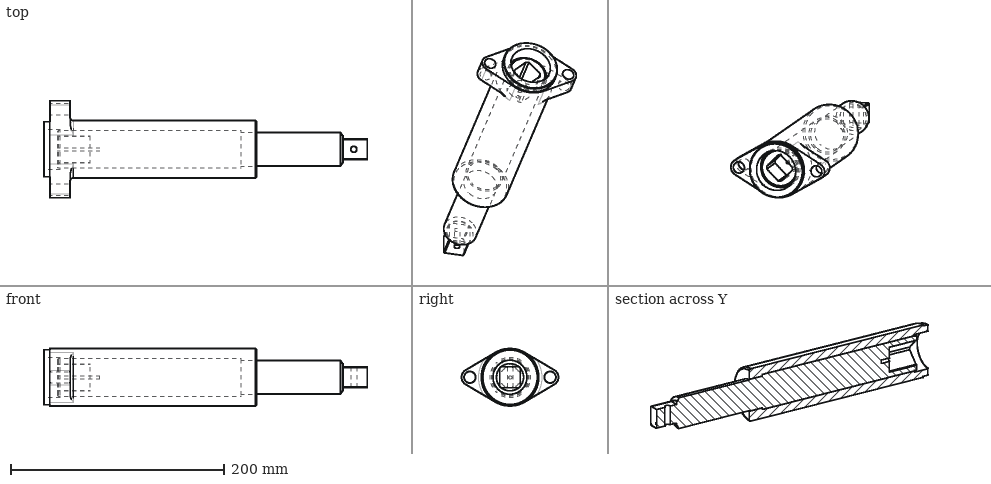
import cadquery as cq
import math

total_length = 303.3

housing_diameter = 54.0
housing_end_x = 200.0
housing_end_chamfer = 1.5
spigot_diameter = 52.0
spigot_length = 5.8
spigot_chamfer = 0.5

flange_span = 91.0
flange_back_x = 25.0
ear_radius = 8.0
ear_hole_diameter = 10.5
flange_fillet = 2.7

mouth_diameter = 38.0
mouth_depth = 15.2
bore_diameter = 35.2
bore_end_wall = 15.2

shaft_start_x = 12.7
rod_diameter = 31.8
rod_end_x = 280.0
rod_chamfer_length = 1.8
neck_diameter = 25.5
neck_length = 1.0
journal_chamfer = 1.0
socket_width = 19.5
socket_corner_diameter = 25.0
socket_depth = 30.3
centre_hole_diameter = 3.0
centre_hole_depth = 9.0

drive_width = 19.5
drive_edge_chamfer = 1.0
cross_hole_diameter = 5.5
cross_hole_from_end = 12.7

housing_radius = housing_diameter / 2
bore_radius = bore_diameter / 2
rod_radius = rod_diameter / 2
neck_radius = neck_diameter / 2
ear_offset = flange_span / 2 - ear_radius
bore_end_x = housing_end_x - bore_end_wall
neck_end_x = rod_end_x + neck_length


def cylinder(diameter, start_x, end_x):
    """Cylinder on the X axis between two stations."""
    return cq.Workplane("YZ", origin=(start_x, 0, 0)).circle(diameter / 2).extrude(end_x - start_x)


def ear_plate(start_x, end_x):
    """Ear plate whose flats are tangent to the tube and to the ears; its middle lies inside the tube."""
    flat_angle = math.acos((housing_radius - ear_radius) / ear_offset)
    flat_y = math.cos(flat_angle)
    flat_z = math.sin(flat_angle)
    ear_y = ear_offset + ear_radius * flat_y
    ear_z = ear_radius * flat_z
    tube_y = housing_radius * flat_y
    tube_z = housing_radius * flat_z
    return (
        cq.Workplane("YZ", origin=(start_x, 0, 0))
        .moveTo(tube_y, tube_z)
        .lineTo(ear_y, ear_z)
        .threePointArc((flange_span / 2, 0), (ear_y, -ear_z))
        .lineTo(tube_y, -tube_z)
        .lineTo(-tube_y, -tube_z)
        .lineTo(-ear_y, -ear_z)
        .threePointArc((-flange_span / 2, 0), (-ear_y, ear_z))
        .lineTo(-tube_y, tube_z)
        .close()
        .extrude(end_x - start_x)
    )


def flange_root_fillet():
    """Concave ring between the flange back and the tube, trimmed to the ear plate."""
    fillet_end_x = flange_back_x + flange_fillet
    arc_middle = flange_fillet * (1 - math.sqrt(0.5))
    ring = (
        cq.Workplane("XY")
        .moveTo(flange_back_x, 0)
        .lineTo(flange_back_x, housing_radius + flange_fillet)
        .threePointArc(
            (flange_back_x + arc_middle, housing_radius + arc_middle),
            (fillet_end_x, housing_radius),
        )
        .lineTo(fillet_end_x, 0)
        .close()
        .revolve(360, (0, 0, 0), (1, 0, 0))
    )
    return ring.intersect(ear_plate(flange_back_x, fillet_end_x))


def make_housing():
    """Flanged tube with a spigot, a wide mouth and a stepped bore for the shaft."""
    tube = cylinder(housing_diameter, spigot_length, housing_end_x)
    tube = tube.faces(">X").edges().chamfer(housing_end_chamfer)
    spigot = cylinder(spigot_diameter, 0, spigot_length)
    spigot = spigot.faces("<X").edges().chamfer(spigot_chamfer)
    flange = ear_plate(spigot_length, flange_back_x)
    ear_holes = (
        cq.Workplane("YZ", origin=(spigot_length, 0, 0))
        .pushPoints([(-ear_offset, 0), (ear_offset, 0)])
        .circle(ear_hole_diameter / 2)
        .extrude(flange_back_x - spigot_length)
    )
    body = tube.union(spigot).union(flange).union(flange_root_fillet())
    body = body.cut(ear_holes)
    body = body.cut(cylinder(mouth_diameter, 0, mouth_depth))
    body = body.cut(cylinder(bore_diameter, mouth_depth, bore_end_x))
    return body.cut(cylinder(rod_diameter, bore_end_x, housing_end_x))


def drive_socket():
    """Square recess standing on one corner, corners rounded to a circle, centre hole in its floor."""
    socket_end_x = shaft_start_x + socket_depth
    square = (
        cq.Workplane("YZ", origin=(shaft_start_x, 0, 0))
        .rect(socket_width, socket_width)
        .extrude(socket_depth)
        .rotate((0, 0, 0), (1, 0, 0), 45)
        .intersect(cylinder(socket_corner_diameter, shaft_start_x, socket_end_x))
    )
    centre_hole = cylinder(centre_hole_diameter, socket_end_x, socket_end_x + centre_hole_depth)
    return square.union(centre_hole)


def square_drive():
    """Square end with bevelled long edges and a vertical cross hole."""
    square = (
        cq.Workplane("YZ", origin=(neck_end_x, 0, 0))
        .rect(drive_width, drive_width)
        .extrude(total_length - neck_end_x)
        .edges("|X")
        .chamfer(drive_edge_chamfer)
    )
    cross_hole = (
        cq.Workplane("XY", origin=(total_length - cross_hole_from_end, 0, -drive_width / 2))
        .circle(cross_hole_diameter / 2)
        .extrude(drive_width)
    )
    return square.cut(cross_hole)


def make_shaft():
    """Stepped shaft with a square socket at the flange end and a square drive at the other."""
    turned = (
        cq.Workplane("XY")
        .moveTo(shaft_start_x, 0)
        .lineTo(shaft_start_x, bore_radius - journal_chamfer)
        .lineTo(shaft_start_x + journal_chamfer, bore_radius)
        .lineTo(bore_end_x, bore_radius)
        .lineTo(bore_end_x, rod_radius)
        .lineTo(rod_end_x - rod_chamfer_length, rod_radius)
        .lineTo(rod_end_x, neck_radius)
        .lineTo(neck_end_x, neck_radius)
        .lineTo(neck_end_x, 0)
        .close()
        .revolve(360, (0, 0, 0), (1, 0, 0))
    )
    return turned.union(square_drive()).cut(drive_socket())


housing = make_housing()
shaft = make_shaft()

result = cq.Compound.makeCompound([housing.val(), shaft.val()])